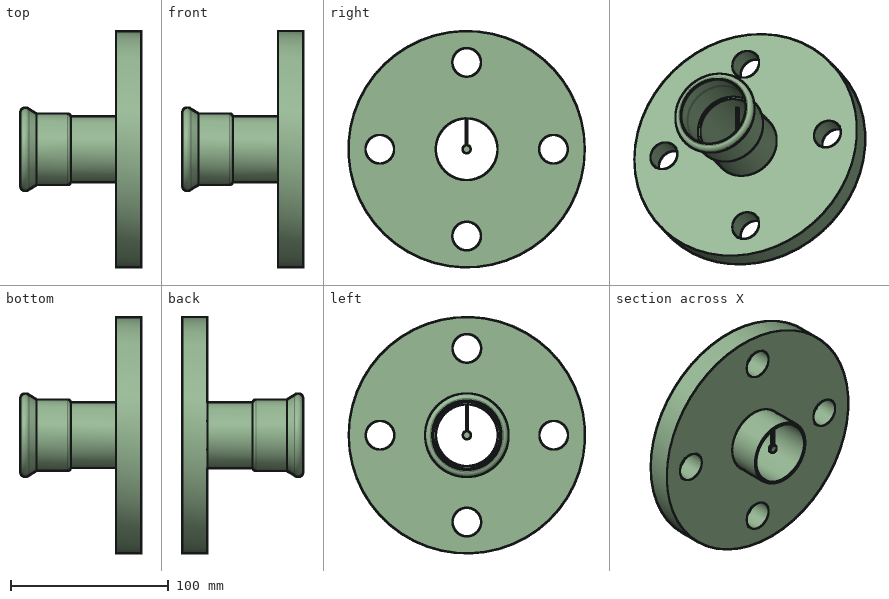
import cadquery as cq
import math

total_length = 76.8
flange_thickness = 16.0
flange_diameter = 150.0
flange_front = total_length - flange_thickness

bolt_hole_diameter = 18.0
bolt_hole_count = 4
bolt_circle_radius = 55.0

tube_diameter = 42.0
bore_diameter = 39.0
collar_diameter = 45.5
socket_diameter = 42.3
mouth_diameter = 43.4
collar_start = 10.4
collar_end = 30.0
neck_start = 32.1
socket_depth = 30.0
throat_diameter = 42.6
mouth_depth = 2.0
throat_depth = 10.2
throat_step_length = 0.9

bead_diameter = 53.1
bead_radius = 3.3
bead_flank_start = 5.5
lip_chamfer = 0.38

marker_disc_diameter = 5.2
marker_bar_width = 1.4
marker_thickness = 1.5
marker_start = 45.0


def make_fitting():
    """Flange, tube and press socket turned as one piece, with drilled bolt holes."""
    bead_centre_radius = bead_diameter / 2 - bead_radius
    flank_offset = bead_flank_start - bead_radius
    flank_radius = bead_centre_radius + math.sqrt(bead_radius**2 - flank_offset**2)
    mid_bead = bead_radius * math.sqrt(0.5)
    profile = (
        cq.Workplane("XY")
        .moveTo(lip_chamfer, mouth_diameter / 2)
        .lineTo(0, mouth_diameter / 2 + lip_chamfer)
        .lineTo(0, bead_centre_radius)
        .threePointArc(
            (bead_radius - mid_bead, bead_centre_radius + mid_bead),
            (bead_flank_start, flank_radius),
        )
        .lineTo(collar_start, collar_diameter / 2)
        .lineTo(collar_end, collar_diameter / 2)
        .tangentArcPoint((neck_start, tube_diameter / 2), relative=False)
        .lineTo(flange_front, tube_diameter / 2)
        .lineTo(flange_front, flange_diameter / 2)
        .lineTo(total_length, flange_diameter / 2)
        .lineTo(total_length, bore_diameter / 2)
        .lineTo(socket_depth, bore_diameter / 2)
        .lineTo(socket_depth, socket_diameter / 2)
        .lineTo(throat_depth + throat_step_length, socket_diameter / 2)
        .lineTo(throat_depth, throat_diameter / 2)
        .lineTo(mouth_depth, mouth_diameter / 2)
        .close()
    )
    turned = profile.revolve(360, (0, 0, 0), (1, 0, 0))
    bolt_holes = (
        cq.Workplane("YZ", origin=(flange_front, 0, 0))
        .polarArray(bolt_circle_radius, 0, 360, bolt_hole_count)
        .circle(bolt_hole_diameter / 2)
        .extrude(flange_thickness)
    )
    return turned.cut(bolt_holes)


def make_marker():
    """Flat disc on the pipe axis with a bar whose rounded end rests on the bore wall."""
    bore_radius = bore_diameter / 2
    half_width = marker_bar_width / 2
    disc_radius = marker_disc_diameter / 2
    bar_top = math.sqrt(bore_radius**2 - half_width**2)
    bar_bottom = math.sqrt(disc_radius**2 - half_width**2)
    return (
        cq.Workplane("YZ", origin=(marker_start, 0, 0))
        .moveTo(half_width, bar_bottom)
        .lineTo(half_width, bar_top)
        .threePointArc((0, bore_radius), (-half_width, bar_top))
        .lineTo(-half_width, bar_bottom)
        .threePointArc((0, -disc_radius), (half_width, bar_bottom))
        .close()
        .extrude(marker_thickness)
    )


fitting = make_fitting()
marker = make_marker()
result = cq.Compound.makeCompound([fitting.val(), marker.val()])